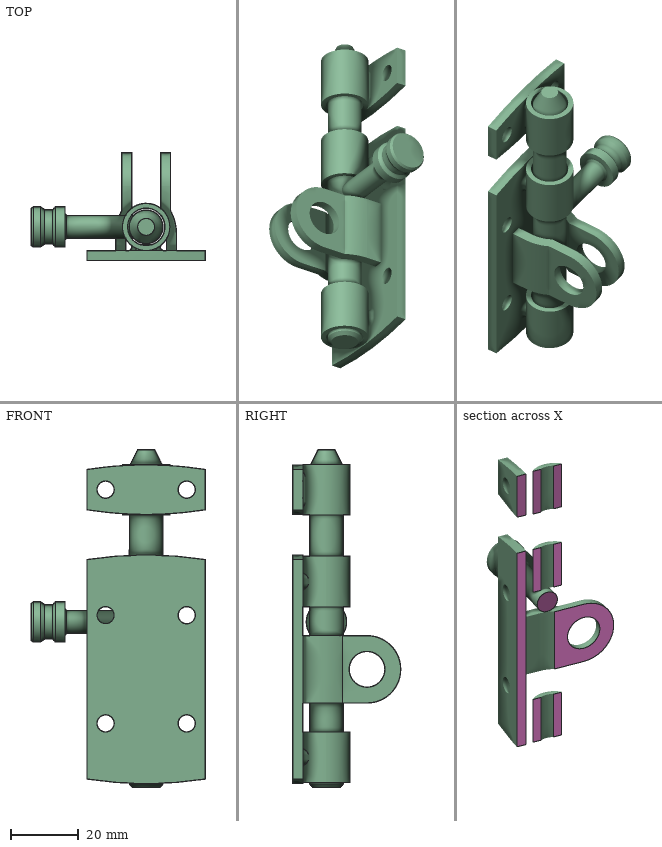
import cadquery as cq
import math


plate_thickness = 3.0
plate_width = 35.0
plate_end_sagitta = 1.35
screw_hole_diameter = 5.0
screw_hole_half_spacing = 12.0

base_center_z = 35.0
base_side_height = 65.0
base_hole_offset_z = 16.0
base_barrel_offset_z = 26.0

keeper_center_z = 88.15
keeper_side_height = 12.0

barrel_radius = 7.0
barrel_length = 15.0
bore_diameter = 11.0
axis_y = plate_thickness + barrel_radius

base_weld_radius = 1.0
base_weld_half_height = 2.1
keeper_weld_radius = 0.4
keeper_weld_half_height = 5.0
weld_corner_radius = 1.45

lug_thickness = 3.0
lug_height = 20.0
lug_tip_y = 32.0
lug_hole_diameter = 10.5
lug_foot_x = 9.0
lug_tip_x = 7.25
lug_bend_start_y = 8.0
lug_bend_outer_radius = 14.0

bolt_radius = 5.0
bolt_length = 100.0
bolt_tip_radius = 2.5
bolt_tip_length = 5.0
bolt_tail_chamfer = 1.0

handle_z = 49.0
handle_radius = 3.4
handle_end_x = -34.0
knob_length = 10.0
knob_radius = 6.0
knob_chamfer_length = 0.7
knob_chamfer_depth = 0.5
knob_root_chamfer = 0.5
groove_radius = 5.1
groove_start = 2.7
groove_floor_start = 4.0
groove_floor_end = 6.3
groove_end = 7.2


def make_plate(center_z, side_height, hole_rows):
    """Plate with bowed top and bottom ends and a pair of screw holes in each row."""
    half_width = plate_width / 2
    side_z = side_height / 2
    crown_z = side_z + plate_end_sagitta
    plate = (
        cq.Workplane("XZ", origin=(0, 0, center_z))
        .moveTo(-half_width, -side_z)
        .threePointArc((0, -crown_z), (half_width, -side_z))
        .lineTo(half_width, side_z)
        .threePointArc((0, crown_z), (-half_width, side_z))
        .close()
        .extrude(-plate_thickness)
    )
    hole_points = [(x, z) for x in (-screw_hole_half_spacing, screw_hole_half_spacing) for z in hole_rows]
    holes = (
        cq.Workplane("XZ", origin=(0, 0, center_z))
        .pushPoints(hole_points)
        .circle(screw_hole_diameter / 2)
        .extrude(-plate_thickness)
    )
    return plate.cut(holes)


def make_weld(center_z, radius, half_height):
    """Waisted pad whose concave sides run tangent into the plate and the barrel."""
    arc_center_x = math.sqrt((barrel_radius + radius) ** 2 - (barrel_radius - radius) ** 2)
    tangent_y = axis_y - barrel_radius * (barrel_radius - radius) / (barrel_radius + radius)
    arc_center_z = half_height + radius
    corner_radius = weld_corner_radius + radius
    pad = (
        cq.Workplane("XZ", origin=(0, plate_thickness, center_z))
        .rect(2 * arc_center_x, 2 * arc_center_z)
        .extrude(plate_thickness - tangent_y)
        .edges("|Y")
        .fillet(corner_radius)
    )
    rim_y = plate_thickness + radius
    straight_x = arc_center_x - corner_radius
    straight_z = arc_center_z - corner_radius
    diagonal = corner_radius * math.sqrt(0.5)
    rim = (
        cq.Workplane("XZ", origin=(0, rim_y, center_z))
        .moveTo(arc_center_x, 0)
        .lineTo(arc_center_x, straight_z)
        .threePointArc((straight_x + diagonal, straight_z + diagonal), (straight_x, arc_center_z))
        .lineTo(-straight_x, arc_center_z)
        .threePointArc((-straight_x - diagonal, straight_z + diagonal), (-arc_center_x, straight_z))
        .lineTo(-arc_center_x, -straight_z)
        .threePointArc((-straight_x - diagonal, -straight_z - diagonal), (-straight_x, -arc_center_z))
        .lineTo(straight_x, -arc_center_z)
        .threePointArc((straight_x + diagonal, -straight_z - diagonal), (arc_center_x, -straight_z))
        .close()
    )
    groove = cq.Workplane("XY", origin=(arc_center_x, rim_y, center_z)).circle(radius).sweep(rim)
    return pad.cut(groove)


def make_barrel(center_z):
    """Bored barrel, centred at the given height on the bolt axis."""
    start_z = center_z - barrel_length / 2
    return (
        cq.Workplane("XY", origin=(0, axis_y, start_z))
        .circle(barrel_radius)
        .circle(bore_diameter / 2)
        .extrude(barrel_length)
    )


def make_lug(side):
    """Padlock lug on one side (-1 or 1): bent strip with a round, pierced end."""
    end_radius = lug_height / 2
    lug_eye_y = lug_tip_y - end_radius
    bend_center_x = lug_foot_x - lug_bend_outer_radius
    bend_inner_radius = lug_bend_outer_radius - lug_thickness

    def bend_point(radius, x):
        """Point at width x on a bend arc of the given radius."""
        return (side * x, lug_bend_start_y + math.sqrt(radius ** 2 - (x - bend_center_x) ** 2))

    foot_inner_x = lug_foot_x - lug_thickness
    tip_inner_x = lug_tip_x - lug_thickness
    outer_middle = bend_point(lug_bend_outer_radius, (lug_foot_x + lug_tip_x) / 2)
    inner_middle = bend_point(bend_inner_radius, (foot_inner_x + tip_inner_x) / 2)
    strip = (
        cq.Workplane("XY", origin=(0, 0, base_center_z - lug_height / 2))
        .moveTo(side * lug_foot_x, plate_thickness)
        .lineTo(side * lug_foot_x, lug_bend_start_y)
        .threePointArc(outer_middle, bend_point(lug_bend_outer_radius, lug_tip_x))
        .lineTo(side * lug_tip_x, lug_eye_y)
        .lineTo(side * tip_inner_x, lug_eye_y)
        .lineTo(*bend_point(bend_inner_radius, tip_inner_x))
        .threePointArc(inner_middle, (side * foot_inner_x, lug_bend_start_y))
        .lineTo(side * foot_inner_x, plate_thickness)
        .close()
        .extrude(lug_height)
    )
    rounded_end = (
        cq.Workplane("YZ", origin=(side * tip_inner_x, lug_eye_y, base_center_z))
        .moveTo(0, -end_radius)
        .threePointArc((end_radius, 0), (0, end_radius))
        .close()
        .extrude(side * lug_thickness)
    )
    hole = (
        cq.Workplane("YZ", origin=(0, lug_eye_y, base_center_z))
        .circle(lug_hole_diameter / 2)
        .extrude(side * lug_tip_x)
    )
    return strip.union(rounded_end).cut(hole)


def make_base():
    """Base plate carrying two welded barrels and a pair of padlock lugs."""
    base = make_plate(base_center_z, base_side_height, (-base_hole_offset_z, base_hole_offset_z))
    for offset_z in (-base_barrel_offset_z, base_barrel_offset_z):
        barrel_z = base_center_z + offset_z
        base = base.union(make_barrel(barrel_z))
        base = base.union(make_weld(barrel_z, base_weld_radius, base_weld_half_height))
    for side in (-1, 1):
        base = base.union(make_lug(side))
    return base


def make_keeper():
    """Short plate with the welded barrel that receives the bolt tip."""
    keeper = make_plate(keeper_center_z, keeper_side_height, (0,))
    keeper = keeper.union(make_weld(keeper_center_z, keeper_weld_radius, keeper_weld_half_height))
    return keeper.union(make_barrel(keeper_center_z))


def make_handle():
    """Handle rod with a grooved knob, revolved about its own axis up to the bolt axis."""
    profile = [
        (0, 0),
        (0, knob_radius - knob_chamfer_depth),
        (knob_chamfer_length, knob_radius),
        (groove_start, knob_radius),
        (groove_floor_start, groove_radius),
        (groove_floor_end, groove_radius),
        (groove_end, knob_radius),
        (knob_length, knob_radius),
        (knob_length, handle_radius + knob_root_chamfer),
        (knob_length + knob_root_chamfer, handle_radius),
        (-handle_end_x, handle_radius),
        (-handle_end_x, 0),
    ]
    return (
        cq.Workplane("XZ", origin=(handle_end_x, axis_y, handle_z))
        .polyline(profile)
        .close()
        .revolve(360, (0, 0), (1, 0))
    )


def make_bolt():
    """Rod with a conical tip and chamfered tail, in one piece with its handle."""
    profile = [
        (0, 0),
        (bolt_radius - bolt_tail_chamfer, 0),
        (bolt_radius, bolt_tail_chamfer),
        (bolt_radius, bolt_length - bolt_tip_length),
        (bolt_tip_radius, bolt_length),
        (0, bolt_length),
    ]
    rod = (
        cq.Workplane("XZ", origin=(0, axis_y, 0))
        .polyline(profile)
        .close()
        .revolve(360, (0, 0), (0, 1))
    )
    return rod.union(make_handle())


base = make_base()
keeper = make_keeper()
bolt = make_bolt()

bodies = [base.solids().val(), keeper.solids().val(), bolt.solids().val()]
result = cq.Compound.makeCompound(bodies)